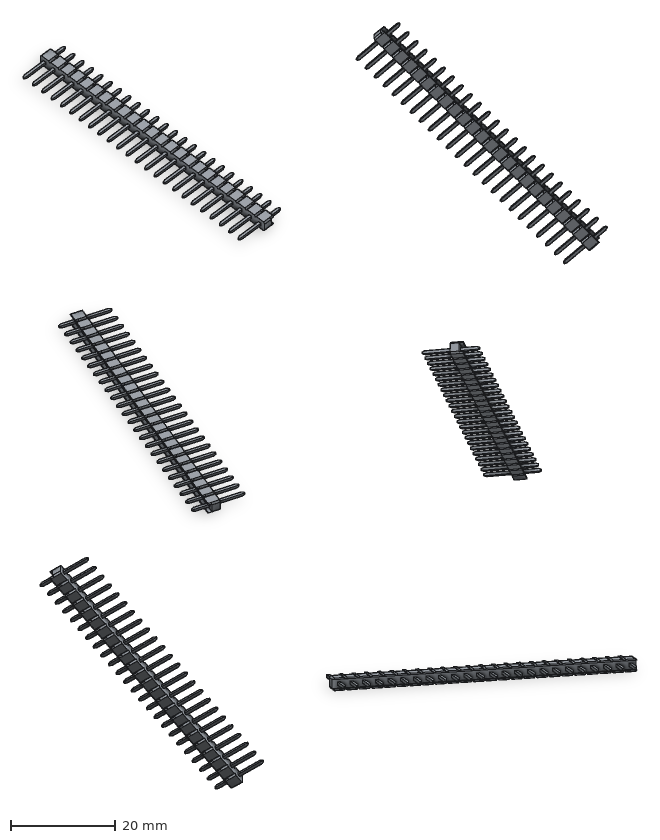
import cadquery as cq


body_length = 60.95
body_height = 2.5
body_depth = 2.5
pin_count = 24
pitch = body_length / pin_count
chamfer_width = 0.3
chamfer_height = 0.395

channel_depth = 0.75
lip_thickness = 0.3
channel_height = body_height - 2 * lip_thickness

pin_width = 0.6
pin_length = 11.2
pin_front_reach = 5.7
pin_shift = -0.09
tip_length = 0.55
tip_width = 0.3

front_tip_y = -pin_front_reach
rear_tip_y = front_tip_y + pin_length


def cell_center(index):
    """X position of the middle of one body cell."""
    return (index + 0.5) * pitch - body_length / 2


def body_outline():
    """Corners of the body section: a chamfered block per pin, joined side by side."""
    half_height = body_height / 2
    flat_half = pitch / 2 - chamfer_width
    upper = [(-body_length / 2, half_height - chamfer_height)]
    for index in range(pin_count):
        center = cell_center(index)
        upper.append((center - flat_half, half_height))
        upper.append((center + flat_half, half_height))
        upper.append((center + pitch / 2, half_height - chamfer_height))
    lower = [(x, -z) for x, z in reversed(upper)]
    return upper + lower


def make_body():
    block = cq.Workplane("XZ").polyline(body_outline()).close().extrude(-body_depth)
    channel = cq.Workplane("XY").box(body_length, channel_depth, channel_height)
    return block.cut(channel.translate((0, body_depth - channel_depth / 2, 0)))


def make_tip(base_y, direction):
    """Tapered pin end; direction is -1 toward the front and +1 toward the rear."""
    return (
        cq.Workplane("XZ", origin=(0, base_y, 0))
        .rect(pin_width, pin_width)
        .workplane(offset=-direction * tip_length)
        .rect(tip_width, tip_width)
        .loft(ruled=True)
    )


def make_pin():
    shank_length = pin_length - 2 * tip_length
    shank_front_y = front_tip_y + tip_length
    shank_rear_y = rear_tip_y - tip_length
    shank = (
        cq.Workplane("XZ", origin=(0, shank_front_y, 0))
        .rect(pin_width, pin_width)
        .extrude(-shank_length)
    )
    return shank.union(make_tip(shank_front_y, -1)).union(make_tip(shank_rear_y, 1))


result = make_body()
pin = make_pin()
for index in range(pin_count):
    result = result.union(pin.translate((cell_center(index) + pin_shift, 0, 0)))